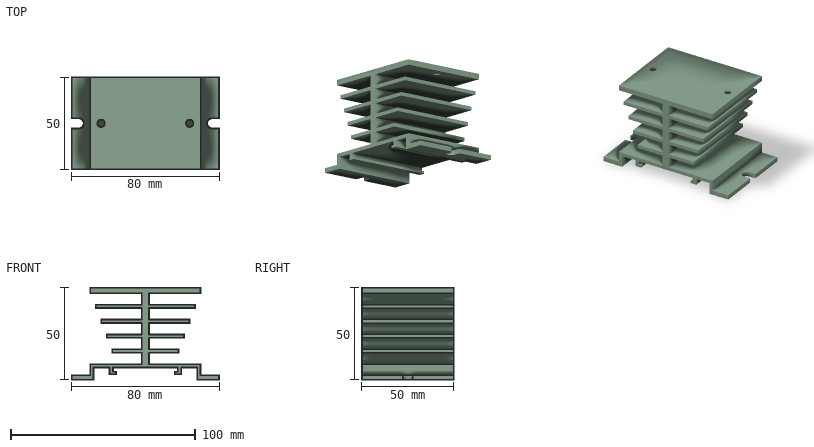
import cadquery as cq

length = 80.0
depth = 50.0
height = 50.0

wall = 2.0
web_width = 4.0
plate_width = 60.0
top_thickness = 3.0
base_top = 8.6
base_underside = base_top - wall

fin_count = 4
fin_width_step = 6.0
fin_space = height - top_thickness - base_top
fin_gap = (fin_space - fin_count * wall) / (fin_count + 1)
fin_pitch = fin_gap + wall

foot_thickness = 2.6
slot_width = 5.5
slot_reach = 6.6
slot_radius = slot_width / 2

hook_outer_x = 19.5
hook_drop = 3.6
hook_length = 3.6
hook_toe_thickness = 1.4

hole_diameter = 4.0
hole_spacing = 48.0


def bar(x_start, x_end, z_start, z_end):
    """Rectangular bar running the full depth of the extrusion."""
    return cq.Workplane("XY").box(
        x_end - x_start, depth, z_end - z_start, centered=(False, True, False)
    ).translate((x_start, 0, z_start))


def centred_bar(width, z_start, z_end):
    return bar(-width / 2, width / 2, z_start, z_end)


def make_foot():
    """Right-hand step and foot, with a round-ended slot in its outer edge."""
    step_outer = plate_width / 2
    step_inner = step_outer - wall
    foot_end = length / 2
    step = bar(step_inner, step_outer, 0, base_top)
    foot = bar(step_inner, foot_end, 0, foot_thickness)
    slot_centre = foot_end - slot_reach + slot_radius
    slot = (
        cq.Workplane("XY")
        .moveTo(foot_end, -slot_radius)
        .lineTo(slot_centre, -slot_radius)
        .threePointArc((foot_end - slot_reach, 0), (slot_centre, slot_radius))
        .lineTo(foot_end, slot_radius)
        .close()
        .extrude(foot_thickness)
    )
    return step.union(foot.cut(slot))


def make_hook():
    """Right-hand clip hook, with its toe pointing towards the web."""
    bottom = base_underside - hook_drop
    leg = bar(hook_outer_x - wall, hook_outer_x, bottom, base_underside)
    toe = bar(hook_outer_x - hook_length, hook_outer_x, bottom, bottom + hook_toe_thickness)
    return leg.union(toe)


body = centred_bar(web_width, base_underside, height)
body = body.union(centred_bar(plate_width, base_underside, base_top))
body = body.union(centred_bar(plate_width, height - top_thickness, height))

for level in range(1, fin_count + 1):
    fin_width = plate_width - level * fin_width_step
    fin_top = height - top_thickness - fin_gap - (level - 1) * fin_pitch
    body = body.union(centred_bar(fin_width, fin_top - wall, fin_top))

for side_part in (make_foot(), make_hook()):
    body = body.union(side_part).union(side_part.mirror("YZ"))

holes = (
    cq.Workplane("XY", origin=(0, 0, height))
    .pushPoints([(-hole_spacing / 2, 0), (hole_spacing / 2, 0)])
    .circle(hole_diameter / 2)
    .extrude(-top_thickness)
)

result = body.cut(holes)